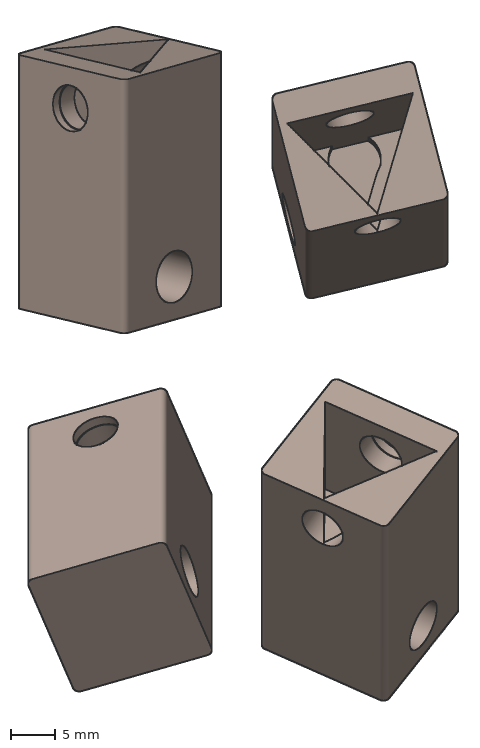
import cadquery as cq
import math

width = 16.55
height = 29.63
corner_radius = 0.75
top = height / 2

socket_side = 14.6
socket_height = socket_side * math.sqrt(3) / 2
socket_base_y = -4.6
socket_depth = 14.82

drop_radius = 2.95
drop_center_y = -2.5
drop_tip_y = 3.23
drop_tip_half_angle = math.radians(30)
drop_depth = 1.48

upper_bore_diameter = 5.33
upper_bore_z = top - 4.8
upper_recess_diameter = 5.5
upper_recess_setback = 1.2
lower_bore_diameter = 6.01
lower_bore_z = -top + 5.05


def make_block():
    return cq.Workplane("XY").box(width, width, height).edges("|Z").fillet(corner_radius)


def make_socket():
    """Equilateral prism with one side facing -Y."""
    return (
        cq.Workplane("XY", origin=(0, 0, top - socket_depth))
        .moveTo(-socket_side / 2, socket_base_y)
        .lineTo(socket_side / 2, socket_base_y)
        .lineTo(0, socket_base_y + socket_height)
        .close()
        .extrude(socket_depth)
    )


def make_drop_recess():
    """Round recess with a 60 degree point toward +Y, its sides parallel to the socket walls."""
    tip_to_center = drop_tip_y - drop_center_y
    side_offset = tip_to_center * math.sin(drop_tip_half_angle)
    side_length = tip_to_center * math.cos(drop_tip_half_angle) - math.sqrt(drop_radius**2 - side_offset**2)
    shoulder_x = side_length * math.sin(drop_tip_half_angle)
    shoulder_y = drop_tip_y - side_length * math.cos(drop_tip_half_angle)
    flat_half_width = math.sqrt(drop_radius**2 - (socket_base_y - drop_center_y) ** 2)
    return (
        cq.Workplane("XY", origin=(0, 0, top - socket_depth - drop_depth))
        .moveTo(flat_half_width, socket_base_y)
        .threePointArc((drop_radius, drop_center_y), (shoulder_x, shoulder_y))
        .lineTo(0, drop_tip_y)
        .lineTo(-shoulder_x, shoulder_y)
        .threePointArc((-drop_radius, drop_center_y), (-flat_half_width, socket_base_y))
        .close()
        .extrude(drop_depth)
    )


def make_bore(plane, z, diameter):
    """Cylinder crossing the whole block, square to the given plane."""
    return cq.Workplane(plane, origin=(0, 0, z)).circle(diameter / 2).extrude(width, both=True)


def make_upper_recess():
    """Wider stretch of the upper bore, from just behind the -Y face to the socket."""
    recess_start_y = -width / 2 + upper_recess_setback
    recess_length = socket_base_y - recess_start_y
    return (
        cq.Workplane("XZ", origin=(0, recess_start_y, upper_bore_z))
        .circle(upper_recess_diameter / 2)
        .extrude(-recess_length)
    )


result = (
    make_block()
    .cut(make_socket())
    .cut(make_drop_recess())
    .cut(make_bore("XZ", upper_bore_z, upper_bore_diameter))
    .cut(make_upper_recess())
    .cut(make_bore("YZ", lower_bore_z, lower_bore_diameter))
)